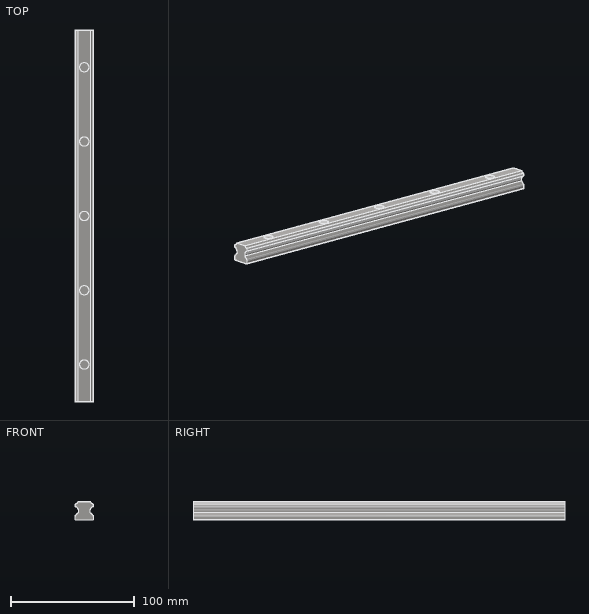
import cadquery as cq
import math

length = 300.0
width = 15.0
height = 15.0
half_width = width / 2

head_flank = 2.5
tip_height = 1.2
tip_fillet = 1.05
top_half_width = half_width - head_flank
tip_top = height - head_flank
tip_bottom = tip_top - tip_height

waist_half_width = 4.8
waist_flank = half_width - waist_half_width
waist_top = tip_bottom - waist_flank
foot_top = 3.5
waist_bottom = foot_top + waist_flank
foot_chamfer = 0.5
waist_fillet = 1.5
foot_fillet = 1.2

groove_radius = 2.7
groove_depth = 0.3
groove_inset = 1.5

recess_count = 5
recess_pitch = length / recess_count
recess_diameter = 7.5
recess_depth = 0.3


def rail_body():
    """Extrude the symmetric rail section along Y and round its tip, waist and foot corners."""
    right_side = [
        (top_half_width, height),
        (half_width, tip_top),
        (half_width, tip_bottom),
        (waist_half_width, waist_top),
        (waist_half_width, waist_bottom),
        (half_width, foot_top),
        (half_width, foot_chamfer),
        (half_width - foot_chamfer, 0),
    ]
    left_side = [(-x, z) for x, z in reversed(right_side)]
    section = cq.Workplane("XZ").polyline(right_side + left_side).close()
    body = section.extrude(length / 2, both=True)
    body = round_corner_pair(body, half_width, tip_top, tip_fillet)
    body = round_corner_pair(body, half_width, tip_bottom, tip_fillet)
    body = round_corner_pair(body, waist_half_width, waist_top, waist_fillet)
    return round_corner_pair(body, half_width, foot_top, foot_fillet)


def round_corner_pair(body, x, z, radius):
    """Fillet the two lengthwise edges at (-x, z) and (x, z)."""
    for side in (-1, 1):
        corner = cq.selectors.NearestToPointSelector((side * x, 0, z))
        body = body.edges("|Y").edges(corner).fillet(radius)
    return body


def ball_grooves():
    """Four round bars whose edges dip into the 45 degree head flanks."""
    outward = (groove_radius - groove_depth) * math.sqrt(0.5)
    bar_x = half_width - groove_inset + outward
    tip_middle = (tip_top + tip_bottom) / 2
    bar_rise = tip_height / 2 + groove_inset + outward
    centers = [
        (side * bar_x, tip_middle + direction * bar_rise)
        for side in (-1, 1)
        for direction in (-1, 1)
    ]
    bars = cq.Workplane("XZ").pushPoints(centers).circle(groove_radius)
    return bars.extrude(length / 2, both=True)


def top_recesses():
    """Shallow round pockets, evenly spaced along the rail."""
    return (
        cq.Workplane("XY", origin=(0, 0, height))
        .rarray(3, recess_pitch, 1, recess_count)
        .circle(recess_diameter / 2)
        .extrude(-recess_depth)
    )


result = rail_body().cut(ball_grooves()).cut(top_recesses())